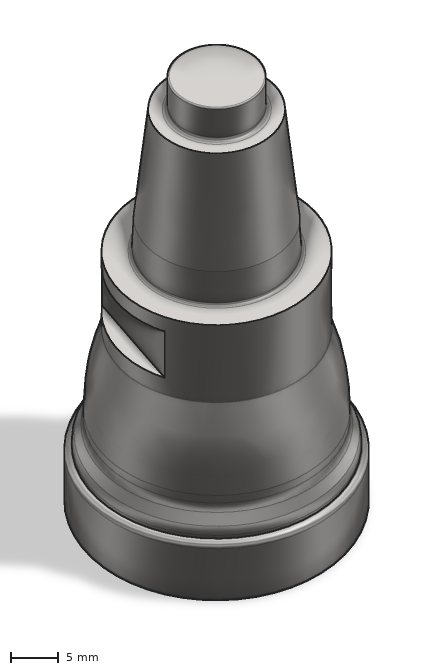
import cadquery as cq
import math

total_height = 59.0
rim_height = 8.15
shoulder_round_bottom = 8.6
shoulder_cone_bottom = 9.7
shoulder_cone_top = 11.0
skirt_bottom = 12.05
dome_bottom = 13.1
collar_bottom = 24.25
collar_top = 34.9
neck_bottom = 35.35
neck_top = 39.5
taper_top = 54.45
tip_fillet_top = 55.0

rim_radius = 32.05 / 2
rim_bottom_round = 0.55
rim_top_round = 0.7
shoulder_radius = 15.2
shoulder_cone_bottom_radius = 15.0
shoulder_cone_top_radius = 14.3
skirt_radius = 28.0 / 2
collar_radius = 24.2 / 2
neck_fillet_radius = 9.3
neck_bottom_radius = 8.9
neck_top_radius = 8.75
taper_top_radius = 7.2
tip_foot_radius = 5.7
tip_radius = 10.4 / 2
tip_edge_round = 0.2

flat_offset = 10.05
flat_bottom = 26.55
flat_top = 32.9


def dome_midpoint():
    """Middle of an arc that runs up and inward from a vertical tangent on the skirt."""
    height = collar_bottom - dome_bottom
    inset = skirt_radius - collar_radius
    arc_radius = (height**2 + inset**2) / (2 * inset)
    half_angle = math.asin(height / arc_radius) / 2
    radius = skirt_radius - arc_radius * (1 - math.cos(half_angle))
    return radius, dome_bottom + arc_radius * math.sin(half_angle)


def revolve_outline(outline):
    """Turn a closed radius-height outline about the Z axis."""
    return outline.close().revolve(360, (0, 0, 0), (0, 1, 0))


def make_rim():
    """Round cap that forms the widest part, with rounded outer edges."""
    outline = (
        cq.Workplane("XZ")
        .lineTo(rim_radius - rim_bottom_round, 0)
        .tangentArcPoint((rim_radius, rim_bottom_round), relative=False)
        .lineTo(rim_radius, rim_height - rim_top_round)
        .tangentArcPoint((rim_radius - rim_top_round, rim_height), relative=False)
        .lineTo(0, rim_height)
    )
    return revolve_outline(outline)


def make_flat_cutters():
    """Two blocks that leave opposed wrench flats facing -Y and +Y."""
    depth = collar_radius - flat_offset
    center_height = (flat_bottom + flat_top) / 2
    block = cq.Workplane("XY").box(2 * collar_radius, depth, flat_top - flat_bottom)
    offset = flat_offset + depth / 2
    return [block.translate((0, side * offset, center_height)) for side in (-1, 1)]


def make_housing():
    """Flared shoulder, domed skirt, collar with wrench flats, tapered neck and tip."""
    outline = (
        cq.Workplane("XZ")
        .moveTo(0, rim_height)
        .lineTo(shoulder_radius, rim_height)
        .lineTo(shoulder_radius, shoulder_round_bottom)
        .tangentArcPoint((shoulder_cone_bottom_radius, shoulder_cone_bottom), relative=False)
        .lineTo(shoulder_cone_top_radius, shoulder_cone_top)
        .tangentArcPoint((skirt_radius, skirt_bottom), relative=False)
        .lineTo(skirt_radius, dome_bottom)
        .threePointArc(dome_midpoint(), (collar_radius, collar_bottom))
        .lineTo(collar_radius, collar_top)
        .lineTo(neck_fillet_radius, collar_top)
        .tangentArcPoint((neck_bottom_radius, neck_bottom), relative=False)
        .lineTo(neck_top_radius, neck_top)
        .lineTo(taper_top_radius, taper_top)
        .lineTo(tip_foot_radius, taper_top)
        .tangentArcPoint((tip_radius, tip_fillet_top), relative=False)
        .lineTo(tip_radius, total_height - tip_edge_round)
        .tangentArcPoint((tip_radius - tip_edge_round, total_height), relative=False)
        .lineTo(0, total_height)
    )
    housing = revolve_outline(outline)
    for cutter in make_flat_cutters():
        housing = housing.cut(cutter)
    return housing


rim = make_rim()
housing = make_housing()
result = cq.Compound.makeCompound([rim.val(), housing.val()])